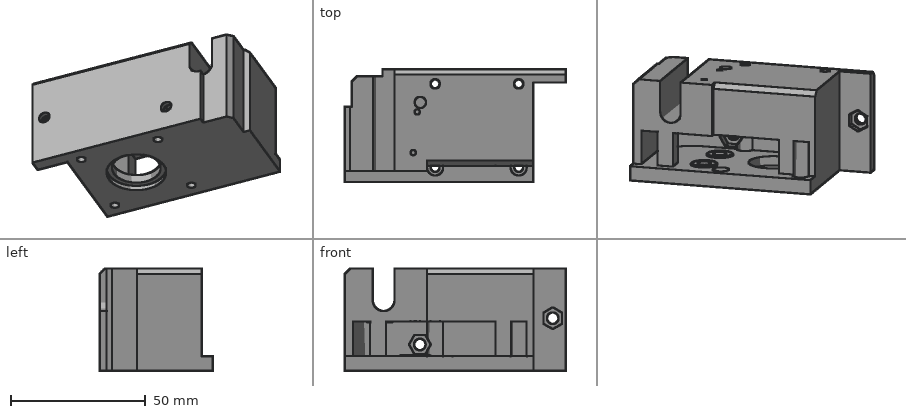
import cadquery as cq

LENGTH = 82.0
WIDTH = 42.0
HEIGHT = 38.0

BODY_LENGTH = 69.95
FLANGE_THICKNESS = 5.0
BASE_HEIGHT = 5.5
FRONT_Y = 4.1
STEP_X = 30.5
STEP_Y = 6.1
CHAMFER = 2.0

SIDE_RECESS_X = 2.55
SIDE_RECESS_Y = 28.05
BACK_RECESS_X = 13.9
BACK_RECESS_Y = 39.4

SLOT_X = 14.4
SLOT_WIDTH = 7.95
SLOT_BOTTOM = 22.2

MOTOR_X = 49.0
MOTOR_Y = 21.0
SCREW_PITCH = 31.0
SCREW_HOLE_D = 3.2
SCREW_HEAD_D = 6.0
SCREW_HEAD_SEAT = 3.45
SCREW_ACCESS_D = 3.5
MOTOR_BORE_D = 18.0
MOTOR_RECESS_D = 22.1
MOTOR_RECESS_DEPTH = 2.0

ROOF_Z = 18.4
CAVITY_BACK_Y = 35.9
MOTOR_CAVITY_D = 22.1
GEAR_CAVITY_X = 17.9
GEAR_CAVITY_Y = MOTOR_Y
GEAR_CAVITY_D = 30.0
CAVITY_LEFT_X = 3.1
CAVITY_RIGHT_X = 55.9
PILLAR_LEFT_X = 9.4
PILLAR_RIGHT_X = 15.3
PILLAR_BACK_Y = 10.7

RING_TOP_D = 9.0
RING_FOOT_D = 10.0
RING_HEIGHT = 0.4
FLOOR_RING_POINTS = [(25.4, 11.0), (26.9, 26.1)]
ROOF_RING_POINT = (13.0, GEAR_CAVITY_Y)
PIVOT_HOLE_D = 5.0
PIVOT_HOLE_DEPTH = 4.5
PIN_HOLE_D = 2.0
TOP_HOLE_D = 4.2
TOP_HOLE_POINT = (28.05, 29.6)
TOP_HOLE_DEPTH = 9.8

BOLT_D = 4.2
NUT_CORNER_D = 8.1
NUT_SEAT_Y = 39.85
CAVITY_BOLT = (27.9, 9.75)
FLANGE_BOLT = (77.2, 19.5)


def block(x0, x1, y0, y1, z0, z1):
    """Box between two opposite corners."""
    return cq.Workplane("XY").box(x1 - x0, y1 - y0, z1 - z0, centered=False).translate((x0, y0, z0))


def cylinder(point, diameter, z0, z1):
    """Vertical cylinder from z0 to z1."""
    return cq.Workplane("XY", origin=(*point, z0)).circle(diameter / 2).extrude(z1 - z0)


def outer_body():
    body = block(0, BODY_LENGTH, 0, WIDTH, 0, BASE_HEIGHT)
    body = body.union(block(0, STEP_X, FRONT_Y, WIDTH, 0, HEIGHT))

    stepped = block(STEP_X, BODY_LENGTH, STEP_Y, WIDTH, 0, HEIGHT)
    body = body.union(stepped.edges(">Z and <Y").chamfer(CHAMFER))
    body = body.union(block(BODY_LENGTH, LENGTH, WIDTH - FLANGE_THICKNESS, WIDTH, 0, HEIGHT))

    body = body.edges("<X and >Z").chamfer(CHAMFER)
    body = body.edges(">Y and >Z").chamfer(CHAMFER)

    body = body.cut(block(0, BACK_RECESS_X, BACK_RECESS_Y, WIDTH, 0, HEIGHT))
    side_recess = (
        cq.Workplane("XY")
        .moveTo(0, SIDE_RECESS_Y)
        .lineTo(SIDE_RECESS_X, SIDE_RECESS_Y)
        .lineTo(SIDE_RECESS_X, BACK_RECESS_Y - CHAMFER)
        .lineTo(SIDE_RECESS_X + CHAMFER, BACK_RECESS_Y)
        .lineTo(0, BACK_RECESS_Y)
        .close()
        .extrude(HEIGHT)
    )
    return body.cut(side_recess)


def top_slot():
    radius = SLOT_WIDTH / 2
    axis_z = SLOT_BOTTOM + radius
    round_bottom = cq.Workplane("XZ").center(SLOT_X, axis_z).circle(radius).extrude(-WIDTH)
    return block(SLOT_X - radius, SLOT_X + radius, 0, WIDTH, axis_z, HEIGHT).union(round_bottom)


def bearing_ring(point, z, direction):
    """Low conical ring standing up (direction 1) or hanging down (direction -1)."""
    plane = cq.Plane(origin=(*point, z), xDir=(1, 0, 0), normal=(0, 0, direction))
    return (
        cq.Workplane(plane)
        .circle(RING_FOOT_D / 2)
        .workplane(offset=RING_HEIGHT)
        .circle(RING_TOP_D / 2)
        .loft()
    )


def gear_cavity():
    """Open space for the gears, leaving the pillar and the bearing rings standing."""
    cavity = cylinder((GEAR_CAVITY_X, GEAR_CAVITY_Y), GEAR_CAVITY_D, BASE_HEIGHT, ROOF_Z)
    cavity = cavity.intersect(block(CAVITY_LEFT_X, LENGTH, 0, CAVITY_BACK_Y, 0, HEIGHT))
    cavity = cavity.union(cylinder((MOTOR_X, MOTOR_Y), MOTOR_CAVITY_D, BASE_HEIGHT, ROOF_Z))
    main_room = block(GEAR_CAVITY_X, CAVITY_RIGHT_X, 0, CAVITY_BACK_Y, BASE_HEIGHT, ROOF_Z)
    front_opening = block(CAVITY_LEFT_X, GEAR_CAVITY_X, 0, GEAR_CAVITY_Y, BASE_HEIGHT, ROOF_Z)
    cavity = cavity.union(main_room).union(front_opening)

    cavity = cavity.cut(block(PILLAR_LEFT_X, PILLAR_RIGHT_X, 0, PILLAR_BACK_Y, BASE_HEIGHT, ROOF_Z))
    for point in FLOOR_RING_POINTS:
        cavity = cavity.cut(bearing_ring(point, BASE_HEIGHT, 1))
    return cavity.cut(bearing_ring(ROOF_RING_POINT, ROOF_Z, -1))


def motor_mount():
    """Motor bore and the four screw holes with room for their heads."""
    cutter = cylinder((MOTOR_X, MOTOR_Y), MOTOR_BORE_D, 0, BASE_HEIGHT)
    cutter = cutter.union(cylinder((MOTOR_X, MOTOR_Y), MOTOR_RECESS_D, 0, MOTOR_RECESS_DEPTH))
    half = SCREW_PITCH / 2
    for x in (MOTOR_X - half, MOTOR_X + half):
        for y in (MOTOR_Y - half, MOTOR_Y + half):
            cutter = cutter.union(cylinder((x, y), SCREW_HOLE_D, 0, SCREW_HEAD_SEAT))
            cutter = cutter.union(cylinder((x, y), SCREW_HEAD_D, SCREW_HEAD_SEAT, ROOF_Z))
        cutter = cutter.union(cylinder((x, MOTOR_Y + half), SCREW_ACCESS_D, ROOF_Z, HEIGHT))
    return cutter


def pivot_holes():
    """Blind holes in the floor rings, and pin holes through the roof above them."""
    ring_top = BASE_HEIGHT + RING_HEIGHT
    cutter = cylinder(TOP_HOLE_POINT, TOP_HOLE_D, HEIGHT - TOP_HOLE_DEPTH, HEIGHT)
    for point in FLOOR_RING_POINTS:
        cutter = cutter.union(cylinder(point, PIVOT_HOLE_D, ring_top - PIVOT_HOLE_DEPTH, ring_top))
        cutter = cutter.union(cylinder(point, PIN_HOLE_D, ROOF_Z, HEIGHT))
    return cutter


def nut_trap(point, start_y, turn):
    """Bolt hole along Y with a hexagonal pocket from start_y to the nut seat."""
    nut = cq.Workplane("XZ").polygon(6, NUT_CORNER_D).extrude(start_y - NUT_SEAT_Y)
    nut = nut.rotate((0, 0, 0), (0, 1, 0), turn)
    bolt = cq.Workplane("XZ").circle(BOLT_D / 2).extrude(start_y - WIDTH)
    return nut.union(bolt).translate((point[0], start_y, point[1]))


result = (
    outer_body()
    .cut(top_slot())
    .cut(gear_cavity())
    .cut(motor_mount())
    .cut(pivot_holes())
    .cut(nut_trap(CAVITY_BOLT, CAVITY_BACK_Y, 0))
    .cut(nut_trap(FLANGE_BOLT, WIDTH - FLANGE_THICKNESS, 90))
)